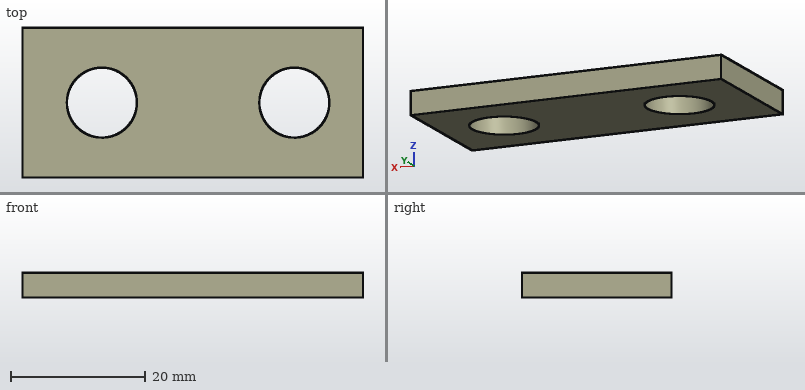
import cadquery as cq

length = 50.8
width = 22.35
thickness = 3.75

hole_diameter = 10.41
hole_spacing = 28.7
first_hole_from_left_end = 11.85

first_hole_x = first_hole_from_left_end - length / 2
hole_centres = [(first_hole_x, 0), (first_hole_x + hole_spacing, 0)]

plate = cq.Workplane("XY").box(length, width, thickness)
result = plate.faces(">Z").workplane().pushPoints(hole_centres).hole(hole_diameter)